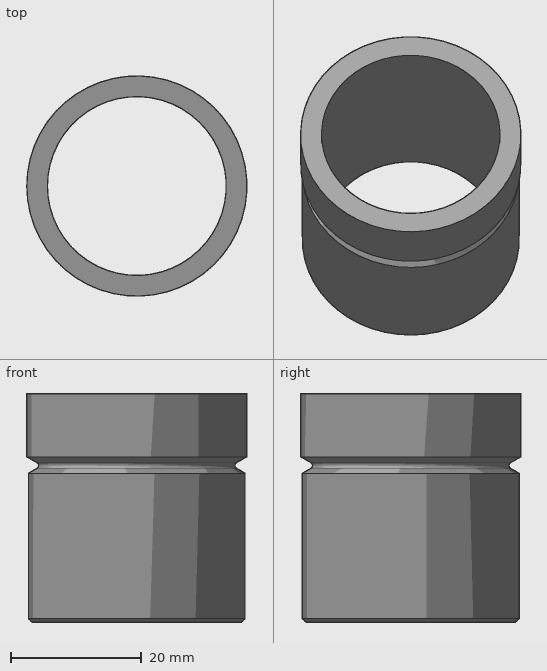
import cadquery as cq
import math

length = 35.0
collar_diameter = 33.7
body_diameter = 33.2
bore_diameter = 27.3
groove_height = 24.0
groove_root_diameter = 30.1
groove_root_radius = 0.5
flank_angle = 30.0
chamfer = 0.6

collar_radius = collar_diameter / 2
body_radius = body_diameter / 2
bore_radius = bore_diameter / 2
root_radius = groove_root_diameter / 2

flank = math.radians(flank_angle)
tangent_radius = root_radius + groove_root_radius * (1 - math.sin(flank))
tangent_offset = groove_root_radius * math.cos(flank)


def groove_half_width(outer_radius):
    """Height from the groove middle to where a flank reaches the given radius."""
    return tangent_offset + (outer_radius - tangent_radius) * math.tan(flank)


def sleeve():
    """Half section on the -X side, turned around the Z axis."""
    profile = (
        cq.Workplane("XZ")
        .moveTo(-bore_radius, 0)
        .lineTo(-(body_radius - chamfer), 0)
        .lineTo(-body_radius, chamfer)
        .lineTo(-body_radius, groove_height - groove_half_width(body_radius))
        .lineTo(-tangent_radius, groove_height - tangent_offset)
        .threePointArc(
            (-root_radius, groove_height),
            (-tangent_radius, groove_height + tangent_offset),
        )
        .lineTo(-collar_radius, groove_height + groove_half_width(collar_radius))
        .lineTo(-collar_radius, length)
        .lineTo(-bore_radius, length)
        .close()
    )
    return profile.revolve(360, (0, 0, 0), (0, 1, 0))


result = sleeve()